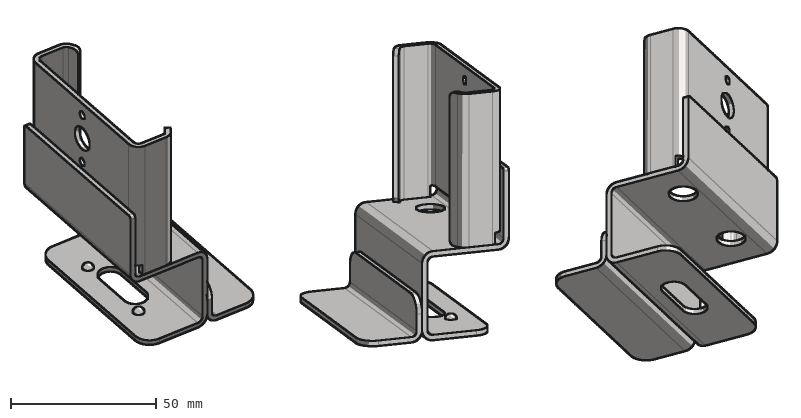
import cadquery as cq
import math

thickness = 2.0
inner_bend_radius = thickness
outer_bend_radius = inner_bend_radius + thickness
mid_bend_radius = inner_bend_radius + thickness / 2
width = 65.0
corner_radius = 6.0

flange_top = 59.0
flange_corner_radius = 1.05
shelf_top = 32.0
web_back = 32.0
foot_front = 6.0

shelf_hole_diameter = 10.0
shelf_hole_spacing = 35.0
shelf_hole_y = 10.0

slot_width = 9.0
slot_length = 24.0
slot_y = 19.0

dome_y = 15.0
dome_spacing = 31.0
dome_base_radius = 2.1
dome_height = 1.65

angle_back = 54.0
angle_top = 16.0

channel_top = 87.0
channel_back = 20.0
side_flat_end = 14.8
lip_turn = 60
lip_corner_radius = 2.0

relief_back = 5.1
relief_height = 4.2
relief_radius = 0.5

centre_hole_diameter = 9.0
small_hole_diameter = 3.0
centre_hole_z = 71.95
small_hole_offset = 10.0


def bent_plate(plane, path, length):
    """Plate whose mid-surface follows the corners of path, bent with rounded corners.

    The section lies in plane and is extruded by half the length to each side of it.
    """
    half = thickness / 2
    headings = [math.atan2(b[1] - a[1], b[0] - a[0]) for a, b in zip(path, path[1:])]
    left = []
    right = []
    bends = []
    for i, (u, v) in enumerate(path):
        before = headings[max(i - 1, 0)]
        after = headings[min(i, len(headings) - 1)]
        turn = math.remainder(after - before, 2 * math.pi)
        mitre = half / math.cos(turn / 2)
        normal = before + turn / 2 + math.pi / 2
        du = mitre * math.cos(normal)
        dv = mitre * math.sin(normal)
        left.append((u + du, v + dv))
        right.append((u - du, v - dv))
        if 0 < i < len(path) - 1:
            inner, outer = (left[i], right[i]) if turn > 0 else (right[i], left[i])
            bends += [(inner, inner_bend_radius), (outer, outer_bend_radius)]

    plate = cq.Workplane(plane).polyline(left + right[::-1]).close().extrude(length / 2, both=True)
    for point, radius in bends:
        edge_middle = plane.toWorldCoords(point)
        plate = plate.edges(cq.selectors.NearestToPointSelector(edge_middle)).fillet(radius)
    return plate


def round_leg_end(plate, leg_end, edges, radius):
    """Round both corners of the leg whose end face lies nearest to the point leg_end."""
    end_face = cq.selectors.NearestToPointSelector(leg_end)
    return plate.faces(end_face).edges(edges).fillet(radius)


def make_dome(x):
    """Spherical cap standing on the foot's top face."""
    sphere_radius = (dome_base_radius**2 + dome_height**2) / (2 * dome_height)
    return (
        cq.Workplane("XZ", origin=(x, dome_y, thickness))
        .lineTo(dome_base_radius, 0)
        .radiusArc((0, dome_height), -sphere_radius)
        .close()
        .revolve(360, (0, 0), (0, 1))
    )


def make_z_bracket():
    mid = thickness / 2
    path = [
        (foot_front, mid),
        (web_back - mid, mid),
        (web_back - mid, shelf_top - mid),
        (mid, shelf_top - mid),
        (mid, flange_top),
    ]
    bracket = bent_plate(cq.Plane.YZ(), path, width)

    bracket = round_leg_end(bracket, (0, mid, flange_top), "|Y", flange_corner_radius)
    bracket = round_leg_end(bracket, (0, foot_front, mid), "|Z", corner_radius)

    shelf_holes = (
        cq.Workplane("XY", origin=(0, shelf_hole_y, shelf_top - thickness))
        .rarray(shelf_hole_spacing, 0.9, 2, 1)
        .circle(shelf_hole_diameter / 2)
        .extrude(thickness)
    )
    slot = cq.Workplane("XY", origin=(0, slot_y, 0)).slot2D(slot_length, slot_width).extrude(thickness)
    bracket = bracket.cut(shelf_holes).cut(slot)

    for side in (-1, 1):
        bracket = bracket.union(make_dome(side * dome_spacing / 2))
    return bracket


def make_angle():
    mid = thickness / 2
    path = [
        (angle_back, mid),
        (web_back + mid, mid),
        (web_back + mid, angle_top),
    ]
    angle = bent_plate(cq.Plane.YZ(), path, width)
    angle = round_leg_end(angle, (0, angle_back, mid), "|Z", corner_radius)
    return round_leg_end(angle, (0, web_back + mid, angle_top), "|Y", corner_radius)


def make_channel():
    mid = thickness / 2
    turn = math.radians(lip_turn)
    side_x = width / 2 - mid
    lip_corner_y = side_flat_end + mid_bend_radius * math.tan(turn / 2)
    lip_end_y = channel_back - mid * math.sin(turn)
    lip_end_x = side_x - (lip_end_y - lip_corner_y) * math.tan(turn)
    right_half = [
        (side_x, thickness + mid),
        (side_x, lip_corner_y),
        (lip_end_x, lip_end_y),
    ]
    left_half = [(-x, y) for x, y in reversed(right_half)]
    height = channel_top - shelf_top
    middle_plane = cq.Plane.XY(origin=(0, 0, shelf_top + height / 2))
    channel = bent_plate(middle_plane, left_half + right_half, height)

    for side in (-1, 1):
        lip_end = (side * lip_end_x, lip_end_y, middle_plane.origin.z)
        channel = round_leg_end(channel, lip_end, "not |Z", lip_corner_radius)

    relief = (
        cq.Workplane("XY")
        .box(width, relief_back, relief_height, centered=(True, False, False))
        .edges("|X and >Y and >Z")
        .fillet(relief_radius)
        .translate((0, 0, shelf_top))
    )
    channel = channel.cut(relief)

    wall_back = 2 * thickness
    wall = cq.Workplane("XZ", origin=(0, 0, centre_hole_z))
    centre_hole = wall.circle(centre_hole_diameter / 2).extrude(-wall_back)
    small_holes = (
        wall.rarray(0.9, 2 * small_hole_offset, 1, 2)
        .circle(small_hole_diameter / 2)
        .extrude(-wall_back)
    )
    return channel.cut(centre_hole).cut(small_holes)


z_bracket = make_z_bracket()
angle = make_angle()
channel = make_channel()

result = cq.Compound.makeCompound([z_bracket.val(), angle.val(), channel.val()])